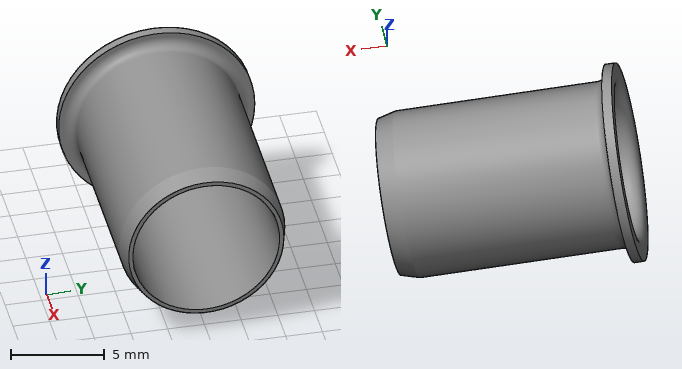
import cadquery as cq
import math

length = 13.0
flange_diameter = 10.7
tube_diameter = 9.0
bore_diameter = 8.0
flange_thickness = 0.53
neck_fillet = 0.55
mouth_round = 0.6
taper_length = 1.0
taper_angle = 15.0

flange_radius = flange_diameter / 2
tube_radius = tube_diameter / 2
bore_radius = bore_diameter / 2
tip_radius = tube_radius - taper_length * math.tan(math.radians(taper_angle))


def make_body():
    """Solid flanged cylinder with a tapered tip, revolved about the X axis."""
    profile = (
        cq.Workplane("XY")
        .lineTo(0, flange_radius)
        .lineTo(flange_thickness, flange_radius)
        .lineTo(flange_thickness, tube_radius + neck_fillet)
        .radiusArc((flange_thickness + neck_fillet, tube_radius), -neck_fillet)
        .lineTo(length - taper_length, tube_radius)
        .lineTo(length, tip_radius)
        .lineTo(length, 0)
        .close()
    )
    return profile.revolve(360, (0, 0, 0), (1, 0, 0))


def make_bore():
    """Through bore that flares with a round at the flange face."""
    profile = (
        cq.Workplane("XY")
        .lineTo(0, bore_radius + mouth_round)
        .radiusArc((mouth_round, bore_radius), -mouth_round)
        .lineTo(length, bore_radius)
        .lineTo(length, 0)
        .close()
    )
    return profile.revolve(360, (0, 0, 0), (1, 0, 0))


result = make_body().cut(make_bore())